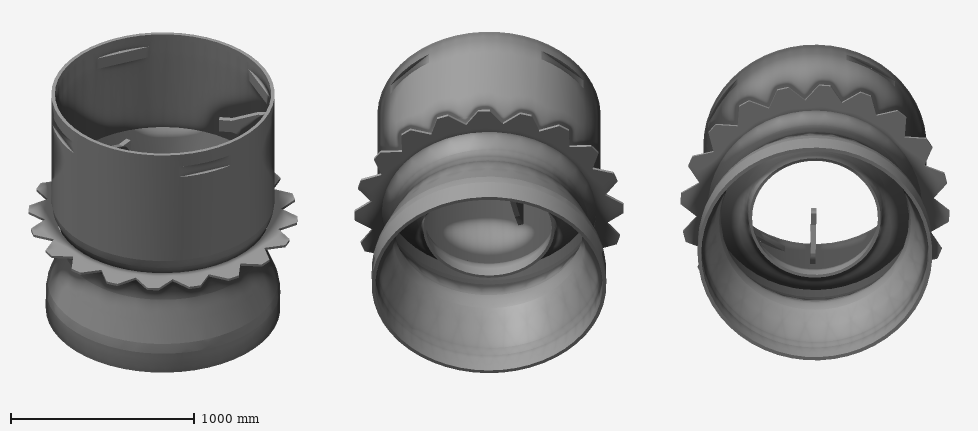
import cadquery as cq
import math

shell_height = 1400.0
base_diameter = 1280.0
barrel_diameter = 1220.0
barrel_bore_diameter = 1180.0
base_corner_z = 153.0
neck_corner_z = 459.0
barrel_corner_z = 683.0
neck_corner_radius = 524.0
base_blend = 159.0
neck_blend = 131.0
barrel_blend = 143.0

flat_width = 310.0
flat_height = 69.0
flat_bottom_z = 1255.0
flat_count = 4

ring_half_size = 730.0
ring_bore_diameter = 1170.0
ring_thickness = 15.0
ring_bottom_z = 600.0
tooth_count = 20
notch_radius = 647.0

funnel_rim_diameter = 1170.0
funnel_rim_z = 805.0
funnel_cone_angle = 45.0
throat_diameter = 698.0
throat_outer_diameter = 730.0
throat_blend = 133.0
spout_end_diameter = 686.0
spout_taper_angle = 5.0

rib_thickness = 29.0
rib_angles = (60, -60)
rib_center_z = 1228.0
rib_inner_radius = 310.0
rib_inner_height = 75.0
rib_outer_height = 180.0
rib_taper_start_radius = 380.0
rib_taper_end_radius = 525.0

base_radius = base_diameter / 2
barrel_radius = barrel_diameter / 2
bore_radius = barrel_bore_diameter / 2
wall = barrel_radius - bore_radius


def revolve_about_z(profile):
    return profile.close().revolve(360, (0, 0), (0, 1))


def turn_about_z(body, angle):
    return body.rotate((0, 0, 0), (0, 0, 1), angle)


def make_shell_wall():
    """Revolve the outline, round its corners and hollow it with both ends open."""
    outline = [
        (0, 0),
        (base_radius, 0),
        (base_radius, base_corner_z),
        (neck_corner_radius, neck_corner_z),
        (barrel_radius, barrel_corner_z),
        (barrel_radius, shell_height),
        (0, shell_height),
    ]
    body = revolve_about_z(cq.Workplane("XZ").polyline(outline))
    corners = (
        (base_corner_z, base_blend),
        (neck_corner_z, neck_blend),
        (barrel_corner_z, barrel_blend),
    )
    reach = base_diameter
    margin = 1.0
    for corner_z, blend in corners:
        at_corner = cq.selectors.BoxSelector(
            (-reach, -reach, corner_z - margin),
            (reach, reach, corner_z + margin),
        )
        body = body.edges(at_corner).edges("%CIRCLE").fillet(blend)
    return body.faces("<Z or >Z").shell(-wall)


def make_flat_block(x_start, x_end):
    return cq.Workplane("XY", origin=(x_start, 0, flat_bottom_z)).box(
        x_end - x_start, flat_width, flat_height, centered=(False, True, False)
    )


def make_shell():
    body = make_shell_wall()
    outer_face_x = math.sqrt(barrel_radius**2 - (flat_width / 2) ** 2)
    inner_face_x = math.sqrt(bore_radius**2 - (flat_width / 2) ** 2)
    opening = make_flat_block(inner_face_x, barrel_radius + wall)
    flat = make_flat_block(inner_face_x, outer_face_x)
    for i in range(flat_count):
        angle = i * 360 / flat_count
        body = body.cut(turn_about_z(opening, angle))
        body = body.union(turn_about_z(flat, angle))
    return body


def make_ring():
    tooth_depth = ring_half_size - notch_radius
    tip_radius = math.hypot(ring_half_size, tooth_depth)
    plane = cq.Workplane("XY", origin=(0, 0, ring_bottom_z))
    ring = plane.circle(tip_radius).circle(ring_bore_diameter / 2).extrude(ring_thickness)
    reach = 2 * tooth_depth
    notch = (
        plane.moveTo(notch_radius, 0)
        .lineTo(notch_radius + reach, reach)
        .lineTo(notch_radius + reach, -reach)
        .close()
        .extrude(ring_thickness)
    )
    for i in range(tooth_count):
        ring = ring.cut(turn_about_z(notch, i * 360 / tooth_count))
    return ring


def make_funnel():
    cone = math.radians(funnel_cone_angle)
    taper = math.radians(spout_taper_angle)
    throat_radius = throat_diameter / 2
    thickness = throat_outer_diameter / 2 - throat_radius

    rim_outer = (
        funnel_rim_diameter / 2,
        funnel_rim_z - thickness * math.sin(cone),
    )
    rim_inner = (
        rim_outer[0] - thickness * math.cos(cone),
        funnel_rim_z,
    )

    arc_center_r = throat_radius + throat_blend * math.cos(taper)
    cone_start_r = arc_center_r - throat_blend * math.cos(cone)
    cone_rise = (rim_inner[0] - cone_start_r) / math.tan(cone)
    arc_center_z = funnel_rim_z - cone_rise - throat_blend * math.sin(cone)
    outer_blend = throat_blend - thickness

    def on_arc(radius, angle):
        return (
            arc_center_r - radius * math.cos(angle),
            arc_center_z + radius * math.sin(angle),
        )

    spout_narrowing = throat_radius - spout_end_diameter / 2
    spout_length = spout_narrowing / math.tan(taper)

    def spout_end(radius):
        start_r, start_z = on_arc(radius, taper)
        return (start_r - spout_narrowing, start_z - spout_length)

    middle = (cone + taper) / 2
    profile = (
        cq.Workplane("XZ")
        .moveTo(*spout_end(throat_blend))
        .lineTo(*on_arc(throat_blend, taper))
        .threePointArc(on_arc(throat_blend, middle), on_arc(throat_blend, cone))
        .lineTo(*rim_inner)
        .lineTo(*rim_outer)
        .lineTo(*on_arc(outer_blend, cone))
        .threePointArc(on_arc(outer_blend, middle), on_arc(outer_blend, taper))
        .lineTo(*spout_end(outer_blend))
    )
    return revolve_about_z(profile)


def make_rib(angle):
    half_inner = rib_inner_height / 2
    half_outer = rib_outer_height / 2
    outline = [
        (rib_inner_radius, -half_inner),
        (rib_taper_start_radius, -half_inner),
        (rib_taper_end_radius, -half_outer),
        (barrel_radius, -half_outer),
        (barrel_radius, half_outer),
        (rib_taper_end_radius, half_outer),
        (rib_taper_start_radius, half_inner),
        (rib_inner_radius, half_inner),
    ]
    rib = (
        cq.Workplane("XZ", origin=(0, 0, rib_center_z))
        .polyline(outline)
        .close()
        .extrude(rib_thickness / 2, both=True)
    )
    bore = cq.Workplane("XY").circle(bore_radius).extrude(shell_height)
    return turn_about_z(rib.intersect(bore), angle)


shell = make_shell()
ring = make_ring()
funnel = make_funnel()
ribs = [make_rib(angle) for angle in rib_angles]

result = cq.Compound.makeCompound(
    [shell.val(), ring.val(), funnel.val(), *[rib.val() for rib in ribs]]
)